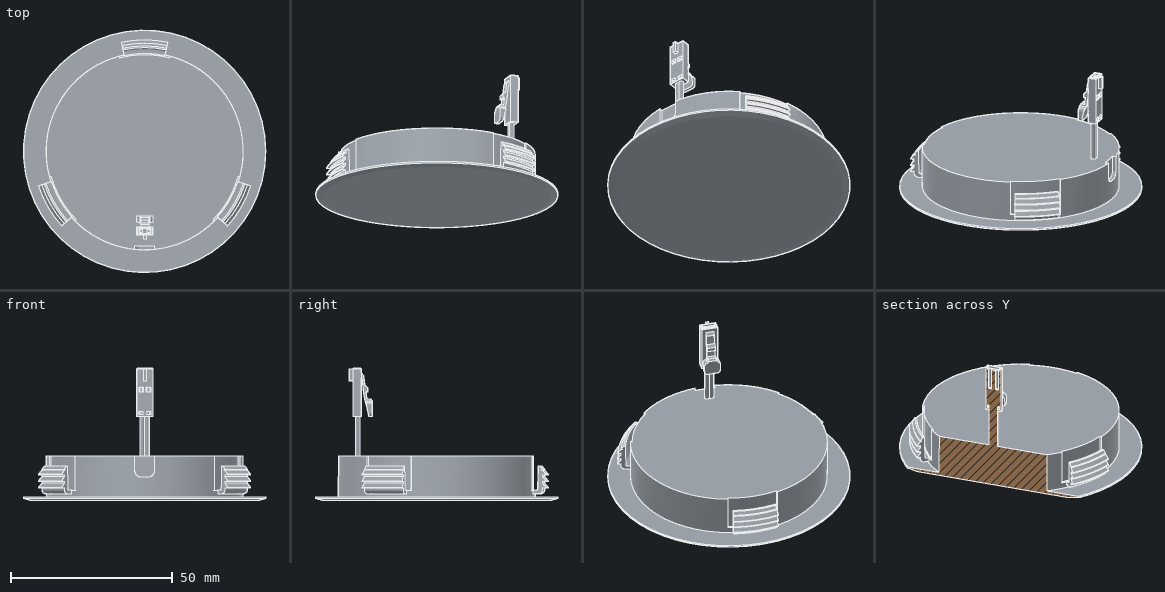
import cadquery as cq

flange_radius = 37.5
flange_bottom_radius = 35.2
flange_thickness = 1.2
rim_height = 0.5
housing_diameter = 61.0
housing_radius = housing_diameter / 2
housing_top = 13.9

clip_angles = (90, 210, 330)
clip_span = 24
recess_span = 30
recess_radius = 29.9
recess_floor = 3.15
foot_bottom = 2.1
foot_top = 3.3
foot_root_radius = 30.3
clip_top = 10.7
clip_inner_radius_top = 32.1
clip_inner_radius_bottom = 31.9
clip_inner_bend = 0.45
clip_lip_radius = 32.6
tooth_root_radius = 33.45
tooth_tip_radius = 34.5
tooth_pitch = 2.0
tooth_count = 3
lowest_tooth_z = 3.9
tooth_tip_thickness = 0.2
tooth_rise = 1.3
nib_bottom = 9.7
nib_step = 0.45
clip_outer_bend = 1.35

notch_width = 6.15
notch_bottom = 7.3
notch_corner = 2.0
notch_wall_y = -29.25

wire_diameter = 1.5
wire_spacing = 1.4
wire_y = -24.45
wire_embed = 0.75

plug_x = 0.1
plug_width = 5.1
plug_front_y = -25.95
plug_back_y = -23.3
plug_bottom = 26.0
plug_top = 41.0
plug_center_y = (plug_front_y + plug_back_y) / 2
plug_edge_chamfer = 0.2
key_width = 1.0
key_front_y = -27.1
key_bottom = 37.05
socket_width = 3.75
socket_length_y = 1.65
socket_depth = 0.75
contact_spacing = 2.25
contact_size = 0.9
window_size = 1.4
window_center_z = 34.35
window_depth = 0.75
slot_width = 1.3
slot_height = 1.0
slot_spacing = 2.5
slot_center_z = 27.15

lever_width = 2.55
lever_root_embed = 0.15
lever_root_y = plug_back_y - lever_root_embed
lever_root_bottom = 38.25
lever_root_top = 39.5
catch_y = -21.3
catch_bottom = 33.7
catch_top = 34.9
lever_upper_bend_y = -22.6
lever_upper_bend_z = 38.6
lever_above_catch_y = -22.2
lever_above_catch_z = 35.7
lever_below_catch_y = -21.8
lever_above_thumb_y = -21.6
lever_inner_upper_y = -23.0
lever_inner_upper_z = 37.0
lever_inner_middle_y = -22.7
lever_inner_middle_z = 33.8
lever_inner_lower_y = -22.35
thumb_width = plug_width
thumb_outer_y = -19.95
thumb_tip_inner_y = -21.0
thumb_bottom = plug_bottom
thumb_top = 31.5
thumb_bevel = 0.45
thumb_bevel_bottom = 30.8
thumb_wing_top = 30.3
thumb_bend_y = -21.9
thumb_bend_z = 29.85
thumb_taper = 0.3
shoulder_run = 0.3
shoulder_half_width = lever_width / 2 + shoulder_run
thumb_round = 1.1


def box(x, y_min, y_max, width, z_min, z_max):
    """Box centred on x, between the given Y and Z limits."""
    block = cq.Workplane("XY").box(width, y_max - y_min, z_max - z_min, centered=(True, False, False))
    return block.translate((x, y_min, z_min))


def revolve_sector(profile, span, angle):
    """Sweep an (r, z) profile about Z over span degrees, centred on angle."""
    sector = profile.revolve(span, (0, 0, 0), (0, 1, 0))
    return sector.rotate((0, 0, 0), (0, 0, 1), angle - span / 2)


def make_housing():
    outline = [
        (0, 0),
        (flange_bottom_radius, 0),
        (flange_radius, flange_thickness - rim_height),
        (flange_radius, flange_thickness),
        (housing_radius, flange_thickness),
        (housing_radius, housing_top),
        (0, housing_top),
    ]
    housing = cq.Workplane("XZ").polyline(outline).close().revolve(360, (0, 0, 0), (0, 1, 0))
    for angle in clip_angles:
        recess = (
            cq.Workplane("XZ")
            .moveTo(recess_radius, recess_floor)
            .lineTo(flange_radius, recess_floor)
            .lineTo(flange_radius, housing_top)
            .lineTo(recess_radius, housing_top)
            .close()
        )
        housing = housing.cut(revolve_sector(recess, recess_span, angle))
    notch = box(0, -flange_radius, notch_wall_y, notch_width, notch_bottom, housing_top)
    notch = notch.edges("|Y and <Z").fillet(notch_corner)
    return housing.cut(notch)


def make_clip(angle):
    """L-shaped spring arm with saw teeth on its outer face."""
    profile = (
        cq.Workplane("XZ")
        .moveTo(foot_root_radius, foot_bottom)
        .lineTo(tooth_root_radius - clip_outer_bend, foot_bottom)
        .radiusArc((tooth_root_radius, foot_bottom + clip_outer_bend), -clip_outer_bend)
    )
    for i in range(tooth_count):
        z = lowest_tooth_z + i * tooth_pitch
        tip_z = z + tooth_tip_thickness
        profile = (
            profile.lineTo(tooth_root_radius, z)
            .lineTo(tooth_tip_radius, z)
            .lineTo(tooth_tip_radius, tip_z)
            .lineTo(tooth_root_radius, tip_z + tooth_rise)
        )
    profile = (
        profile.lineTo(tooth_root_radius - nib_step, nib_bottom - nib_step / 2)
        .lineTo(tooth_root_radius, nib_bottom)
        .lineTo(clip_lip_radius, clip_top)
        .lineTo(clip_inner_radius_top, clip_top)
        .lineTo(clip_inner_radius_bottom, foot_top + clip_inner_bend)
        .radiusArc((clip_inner_radius_bottom - clip_inner_bend, foot_top), clip_inner_bend)
        .lineTo(foot_root_radius, foot_top)
        .close()
    )
    return revolve_sector(profile, clip_span, angle)


def make_plug():
    plug = box(plug_x, plug_front_y, plug_back_y, plug_width, plug_bottom, plug_top)
    plug = plug.faces(">Z").chamfer(plug_edge_chamfer)
    key_top = plug_top - plug_edge_chamfer
    plug = plug.union(box(plug_x, key_front_y, plug_center_y, key_width, key_bottom, key_top))

    half_socket = socket_length_y / 2
    socket_floor = plug_top - socket_depth
    socket = box(
        plug_x, plug_center_y - half_socket, plug_center_y + half_socket,
        socket_width, socket_floor, plug_top,
    )
    plug = plug.cut(socket)
    for side in (-1, 1):
        contact_x = plug_x + side * contact_spacing / 2
        half_contact = contact_size / 2
        window_bottom = window_center_z - window_size / 2
        window_top = window_center_z + window_size / 2
        contact = box(
            contact_x, plug_center_y - half_contact, plug_center_y + half_contact,
            contact_size, window_bottom, plug_top,
        )
        window = box(
            contact_x, plug_front_y, plug_front_y + window_depth,
            window_size, window_bottom, window_top,
        )
        slot = box(
            plug_x + side * slot_spacing / 2, plug_front_y, wire_y,
            slot_width, slot_center_z - slot_height / 2, slot_center_z + slot_height / 2,
        )
        plug = plug.cut(contact).cut(window).cut(slot)
    return plug


def make_wires():
    """Two round wires, slightly overlapping, from inside the housing to inside the plug."""
    wire_start = housing_top - wire_embed
    wire_end = slot_center_z + slot_height
    wires = cq.Workplane("XY")
    for side in (-1, 1):
        start = cq.Workplane("XY").center(side * wire_spacing / 2, wire_y).workplane(offset=wire_start)
        wires = wires.union(start.circle(wire_diameter / 2).extrude(wire_end - wire_start))
    return wires


def extrude_side_profile(points, width):
    """Extrude a (y, z) outline along X, centred on the plug."""
    return cq.Workplane("YZ").polyline(points).close().extrude(width / 2, both=True).translate((plug_x, 0, 0))


def make_latch():
    lever = extrude_side_profile(
        [
            (lever_root_y, lever_root_top),
            (plug_back_y, lever_root_top),
            (lever_upper_bend_y, lever_upper_bend_z),
            (lever_above_catch_y, lever_above_catch_z),
            (catch_y, catch_top),
            (catch_y, catch_bottom),
            (lever_below_catch_y, catch_bottom),
            (lever_above_thumb_y, thumb_top),
            (thumb_outer_y - thumb_bevel, thumb_top),
            (thumb_outer_y, thumb_bevel_bottom),
            (thumb_outer_y, thumb_bottom),
            (thumb_tip_inner_y, thumb_bottom),
            (thumb_bend_y, thumb_bend_z),
            (lever_inner_lower_y, thumb_top),
            (lever_inner_middle_y, lever_inner_middle_z),
            (lever_inner_upper_y, lever_inner_upper_z),
            (plug_back_y, lever_root_bottom),
            (lever_root_y, lever_root_bottom),
        ],
        lever_width,
    )
    wings = extrude_side_profile(
        [
            (thumb_outer_y, thumb_bevel_bottom),
            (thumb_outer_y, thumb_bottom),
            (thumb_tip_inner_y, thumb_bottom),
            (thumb_bend_y, thumb_bend_z),
            (thumb_bend_y - thumb_taper, thumb_bevel_bottom),
        ],
        thumb_width,
    )
    section = box(plug_x, plug_back_y, thumb_outer_y, thumb_width, thumb_bottom, thumb_wing_top)
    section = section.edges("|Y").fillet(thumb_round)
    shoulders = (
        cq.Workplane("XZ", origin=(plug_x, thumb_outer_y, 0))
        .moveTo(-shoulder_half_width, thumb_wing_top - thumb_round)
        .lineTo(-shoulder_half_width, thumb_wing_top)
        .lineTo(-lever_width / 2, thumb_bevel_bottom)
        .lineTo(lever_width / 2, thumb_bevel_bottom)
        .lineTo(shoulder_half_width, thumb_wing_top)
        .lineTo(shoulder_half_width, thumb_wing_top - thumb_round)
        .close()
        .extrude(thumb_outer_y - plug_back_y)
    )
    return lever.union(wings.intersect(section.union(shoulders)))


result = make_housing()
for clip_angle in clip_angles:
    result = result.union(make_clip(clip_angle))
result = result.union(make_plug().union(make_wires()).union(make_latch()))